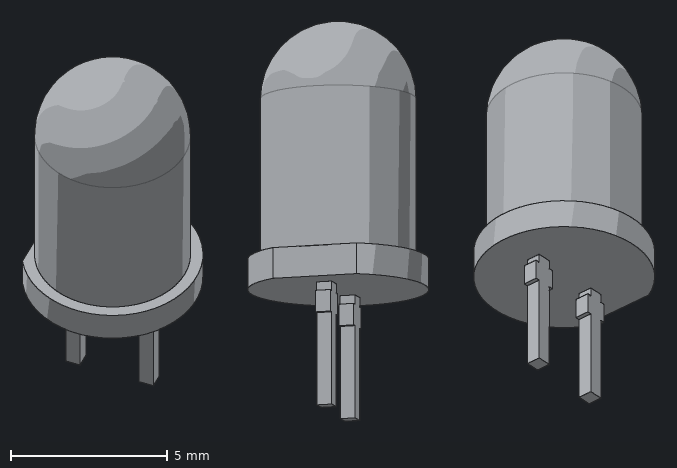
import cadquery as cq

lens_diameter = 5.0
lens_radius = lens_diameter / 2
lens_straight_height = 5.2

flange_diameter = 5.8
flange_radius = flange_diameter / 2
flange_height = 1.0
flat_distance = 2.54

lead_pitch = 2.54
lead_width = 0.5
lead_length = 4.0
tab_width = 0.8
tab_top_depth = 0.3
tab_bottom_depth = 1.0


def make_lens():
    """Revolved cylinder and dome standing on the flange."""
    dome_base = flange_height + lens_straight_height
    dome_top = dome_base + lens_radius
    profile = (
        cq.Workplane("XZ")
        .moveTo(0, flange_height)
        .lineTo(lens_radius, flange_height)
        .lineTo(lens_radius, dome_base)
        .radiusArc((0, dome_top), -lens_radius)
        .close()
    )
    return profile.revolve(360, (0, 0, 0), (0, 1, 0))


def make_flange():
    """Disc with its underside at Z = 0, trimmed flat on the -X side."""
    disc = cq.Workplane("XY").circle(flange_radius).extrude(flange_height)
    keep_length = flat_distance + flange_radius
    keep = cq.Workplane("XY").box(
        keep_length, flange_diameter, flange_height, centered=(False, True, False)
    )
    return disc.intersect(keep.translate((-flat_distance, 0, 0)))


def make_lead(x):
    """Square lead hanging from the flange at the given X, with its tab."""
    lead = cq.Workplane("XY").center(x, 0).rect(lead_width, lead_width).extrude(-lead_length)
    tab = (
        cq.Workplane("XY", origin=(x, 0, -tab_bottom_depth))
        .rect(tab_width, lead_width)
        .extrude(tab_bottom_depth - tab_top_depth)
    )
    return lead.union(tab)


result = make_flange().union(make_lens())
for side in (-1, 1):
    result = result.union(make_lead(side * lead_pitch / 2))